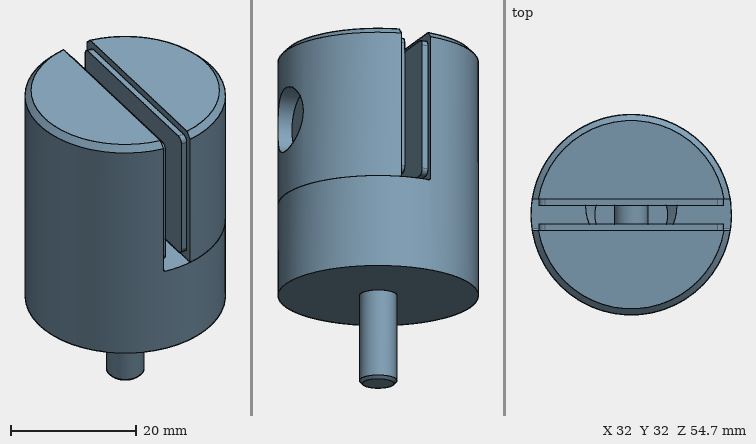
import cadquery as cq

TOTAL_HEIGHT = 54.7
BODY_DIAMETER = 32.0
BODY_HEIGHT = 40.0
TOP_CHAMFER = 1.0
BODY_BOTTOM = TOTAL_HEIGHT - BODY_HEIGHT

SLOT_WIDTH = 5.0
SLOT_DEPTH = 24.95
SLOT_FILLET = 0.35
FLOOR_Z = TOTAL_HEIGHT - SLOT_DEPTH
SLOT_HALF = SLOT_WIDTH / 2

RECESS_BOTTOM_DIAMETER = 11.6
RECESS_RIM_DIAMETER = 14.55
RECESS_RIM_OFFSET = 1.35
RECESS_DEPTH = (RECESS_RIM_DIAMETER - RECESS_BOTTOM_DIAMETER) / 2

PAD_WIDTH = 29.5
PAD_MARGIN = 1.2
PAD_HEIGHT = SLOT_DEPTH - 2 * PAD_MARGIN
PAD_THICKNESS = 1.0
PAD_CORNER_RADIUS = 1.0

SCREW_DIAMETER = 5.35
SCREW_HEAD_DIAMETER = 10.0
SCREW_HEAD_HEIGHT = 5.35
SCREW_DEPTH_IN_HOUSING = 7.0
COUNTERBORE_DIAMETER = 10.55
SEAT_THICKNESS = 5.0
SCREW_Z = FLOOR_Z + SLOT_DEPTH / 2
SCREW_END_Y = -SLOT_HALF - SCREW_DEPTH_IN_HOUSING
SEAT_Y = SLOT_HALF + SEAT_THICKNESS

STUD_DIAMETER = 6.0
STUD_TIP_CHAMFER = 0.5
STUD_DEPTH_IN_HOUSING = 6.0


def cylinder_along_y(diameter, start_y, end_y):
    """Cylinder on the screw axis between two Y positions."""
    plane = cq.Plane(origin=(0, start_y, SCREW_Z), xDir=(1, 0, 0), normal=(0, 1, 0))
    return cq.Workplane(plane).circle(diameter / 2).extrude(end_y - start_y)


def upper_block(start_y):
    """Box above the slot floor, from start_y to beyond the +Y side of the body."""
    return (
        cq.Workplane("XY", origin=(0, start_y, FLOOR_Z))
        .rect(2 * BODY_DIAMETER, 2 * BODY_DIAMETER)
        .extrude(TOTAL_HEIGHT)
        .translate((0, BODY_DIAMETER, 0))
    )


def make_body_blank():
    """Round body with a chamfered top edge."""
    return (
        cq.Workplane("XY", origin=(0, 0, BODY_BOTTOM))
        .circle(BODY_DIAMETER / 2)
        .extrude(BODY_HEIGHT)
        .faces(">Z")
        .chamfer(TOP_CHAMFER)
    )


def make_floor_recess():
    """Slanted conical recess, ending at the housing wall of the slot."""
    bottom_plane = cq.Plane(origin=(0, 0, FLOOR_Z - RECESS_DEPTH), xDir=(0, 1, 0), normal=(0, 0, 1))
    cone = (
        cq.Workplane(bottom_plane)
        .circle(RECESS_BOTTOM_DIAMETER / 2)
        .workplane(offset=RECESS_DEPTH)
        .center(RECESS_RIM_OFFSET, 0)
        .circle(RECESS_RIM_DIAMETER / 2)
        .loft()
    )
    slot_side = upper_block(SLOT_FILLET - SLOT_HALF).translate((0, 0, -RECESS_DEPTH))
    return cone.intersect(slot_side)


def make_screw():
    """Cylinder-head screw, head toward +Y."""
    shank = cylinder_along_y(SCREW_DIAMETER, SCREW_END_Y, SEAT_Y)
    head = cylinder_along_y(SCREW_HEAD_DIAMETER, SEAT_Y, SEAT_Y + SCREW_HEAD_HEIGHT)
    return shank.union(head)


def make_stud():
    """Plain stud with a chamfered lower tip."""
    return (
        cq.Workplane("XY")
        .circle(STUD_DIAMETER / 2)
        .extrude(BODY_BOTTOM + STUD_DEPTH_IN_HOUSING)
        .faces("<Z")
        .chamfer(STUD_TIP_CHAMFER)
    )


def make_housing():
    """Round base with a half-round wall on the -Y side of the slot."""
    inner_corner = cq.selectors.NearestToPointSelector((0, -SLOT_HALF, FLOOR_Z))
    return (
        make_body_blank()
        .cut(upper_block(-SLOT_HALF))
        .edges(inner_corner)
        .fillet(SLOT_FILLET)
        .cut(make_floor_recess())
        .cut(make_screw())
        .cut(make_stud())
    )


def make_clamp():
    """Half-round jaw on the +Y side of the slot, counterbored for the screw head."""
    return (
        make_body_blank()
        .intersect(upper_block(SLOT_HALF))
        .cut(cylinder_along_y(SCREW_DIAMETER, 0, SEAT_Y))
        .cut(cylinder_along_y(COUNTERBORE_DIAMETER, SEAT_Y, BODY_DIAMETER))
    )


def make_pad(side):
    """Rounded plate against one slot face: side is -1 for the housing, +1 for the clamp."""
    middle_y = side * (SLOT_HALF - PAD_THICKNESS / 2)
    return (
        cq.Workplane("XY")
        .box(PAD_WIDTH, PAD_THICKNESS, PAD_HEIGHT)
        .edges("|Y")
        .fillet(PAD_CORNER_RADIUS)
        .translate((0, middle_y, SCREW_Z))
        .cut(cylinder_along_y(SCREW_DIAMETER, -SLOT_WIDTH, SLOT_WIDTH))
    )


housing = make_housing()
clamp = make_clamp()
pads = [make_pad(side) for side in (-1, 1)]
screw = make_screw()
stud = make_stud()

result = cq.Compound.makeCompound(
    [housing.val(), clamp.val(), *[pad.val() for pad in pads], screw.val(), stud.val()]
)